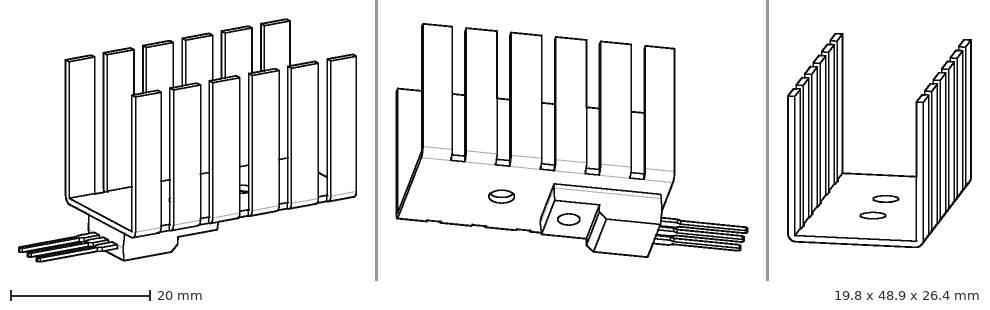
import cadquery as cq


SINK_WIDTH = 19.8
SINK_LENGTH = 36.85
SINK_HEIGHT = 21.55
WALL_THICKNESS = 1.05
BASE_THICKNESS = 0.95
BEND_RADIUS = 1.15

SLOT_COUNT = 5
SLOT_WIDTH = 2.05
SLOT_PITCH = 6.55

SINK_HOLE_DIAMETER = 3.65
MOUNT_HOLE_Y = 13.55
HOLE_SPACING = 9.85

PACKAGE_HEIGHT = 4.85
PACKAGE_HOLE_DIAMETER = 3.2

TOP_WIDTH = 10.08
RIDGE_WIDTH = 10.15
BOTTOM_WIDTH = 9.55
RIDGE_DEPTH = 0.7

FRONT_Y = 1.1
FRONT_BULGE = 0.2
BACK_Y = 16.75
BACK_TOP_DRAFT = (RIDGE_WIDTH - TOP_WIDTH) / 2
BACK_BOTTOM_DRAFT = 0.15
STEP_Y = 10.05
TAB_THICKNESS = 2.7
STEP_CHAMFER = 1.05

LEAD_COUNT = 3
LEAD_PITCH = 2.55
LEAD_THICKNESS = 0.6
LEAD_TOP_DEPTH = 2.8
LEAD_ROOT_WIDTH = 1.4
LEAD_WIDTH = 0.8
LEAD_TIP_WIDTH = 0.3
SHOULDER_Y = -1.65
NECK_Y = -2.25
OVERALL_LENGTH = 48.9
LEAD_END_Y = SINK_LENGTH - OVERALL_LENGTH
LEAD_TIP_LENGTH = 0.3


def make_heatsink():
    channel = (
        cq.Workplane("XY")
        .box(SINK_WIDTH, SINK_LENGTH, SINK_HEIGHT, centered=(True, False, False))
        .edges("|Y and <Z")
        .fillet(BEND_RADIUS)
    )
    inside = (
        cq.Workplane("XY")
        .workplane(offset=BASE_THICKNESS)
        .rect(SINK_WIDTH - 2 * WALL_THICKNESS, 2 * SINK_LENGTH)
        .extrude(SINK_HEIGHT)
    )
    channel = channel.cut(inside)

    slots = (
        cq.Workplane("XY")
        .center(0, SINK_LENGTH / 2)
        .rarray(SINK_WIDTH - BEND_RADIUS, SLOT_PITCH, 2, SLOT_COUNT)
        .rect(BEND_RADIUS, SLOT_WIDTH)
        .extrude(SINK_HEIGHT)
    )
    holes = (
        cq.Workplane("XY")
        .pushPoints([(0, MOUNT_HOLE_Y), (0, MOUNT_HOLE_Y + HOLE_SPACING)])
        .circle(SINK_HOLE_DIAMETER / 2)
        .extrude(BASE_THICKNESS)
    )
    return channel.cut(slots).cut(holes)


def make_moulding():
    side = (
        cq.Workplane("YZ")
        .polyline([
            (FRONT_Y, 0),
            (FRONT_Y - FRONT_BULGE, -LEAD_TOP_DEPTH),
            (FRONT_Y, -PACKAGE_HEIGHT),
            (STEP_Y - STEP_CHAMFER, -PACKAGE_HEIGHT),
            (STEP_Y, -PACKAGE_HEIGHT + STEP_CHAMFER),
            (STEP_Y, -TAB_THICKNESS),
            (BACK_Y - BACK_BOTTOM_DRAFT, -TAB_THICKNESS),
            (BACK_Y, -RIDGE_DEPTH),
            (BACK_Y - BACK_TOP_DRAFT, 0),
        ])
        .close()
        .extrude(RIDGE_WIDTH, both=True)
    )
    end = (
        cq.Workplane("XZ")
        .polyline([
            (-TOP_WIDTH / 2, 0),
            (-RIDGE_WIDTH / 2, -RIDGE_DEPTH),
            (-BOTTOM_WIDTH / 2, -PACKAGE_HEIGHT),
            (BOTTOM_WIDTH / 2, -PACKAGE_HEIGHT),
            (RIDGE_WIDTH / 2, -RIDGE_DEPTH),
            (TOP_WIDTH / 2, 0),
        ])
        .close()
        .extrude(-SINK_LENGTH)
    )
    hole = (
        cq.Workplane("XY")
        .center(0, MOUNT_HOLE_Y)
        .circle(PACKAGE_HOLE_DIAMETER / 2)
        .extrude(-PACKAGE_HEIGHT)
    )
    return side.intersect(end).cut(hole)


def make_lead(x):
    right_edge = [
        (LEAD_ROOT_WIDTH / 2, FRONT_Y),
        (LEAD_ROOT_WIDTH / 2, SHOULDER_Y),
        (LEAD_WIDTH / 2, NECK_Y),
        (LEAD_WIDTH / 2, LEAD_END_Y + LEAD_TIP_LENGTH),
        (LEAD_TIP_WIDTH / 2, LEAD_END_Y),
    ]
    left_edge = [(-half_width, y) for half_width, y in reversed(right_edge)]
    return (
        cq.Workplane("XY")
        .workplane(offset=-LEAD_TOP_DEPTH)
        .polyline(right_edge + left_edge)
        .close()
        .extrude(-LEAD_THICKNESS)
        .translate((x, 0, 0))
    )


def make_transistor():
    transistor = make_moulding()
    for i in range(LEAD_COUNT):
        lead_x = (i - (LEAD_COUNT - 1) / 2) * LEAD_PITCH
        transistor = transistor.union(make_lead(lead_x))
    return transistor


heatsink = make_heatsink()
transistor = make_transistor()

result = cq.Compound.makeCompound([heatsink.val(), transistor.val()])